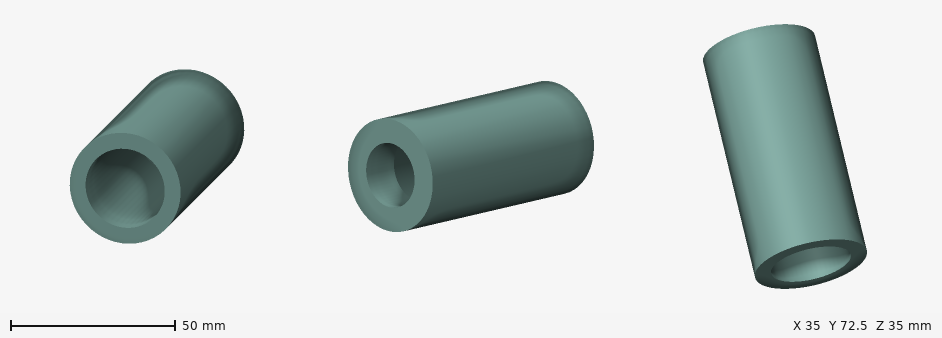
import cadquery as cq

length = 72.5
outer_diameter = 35.0
bore_diameter = 20.0
counterbore_diameter = 25.0
counterbore_depth = 60.0


def cylinder_along_y(diameter, start_y, height):
    """Solid cylinder on the Y axis, running toward +Y from start_y."""
    return cq.Workplane(
        cq.Solid.makeCylinder(diameter / 2, height, cq.Vector(0, start_y, 0), cq.Vector(0, 1, 0))
    )


front_y = -length / 2

sleeve = cylinder_along_y(outer_diameter, front_y, length)
bore = cylinder_along_y(bore_diameter, front_y, length)
counterbore = cylinder_along_y(counterbore_diameter, front_y, counterbore_depth)

result = sleeve.cut(bore).cut(counterbore)